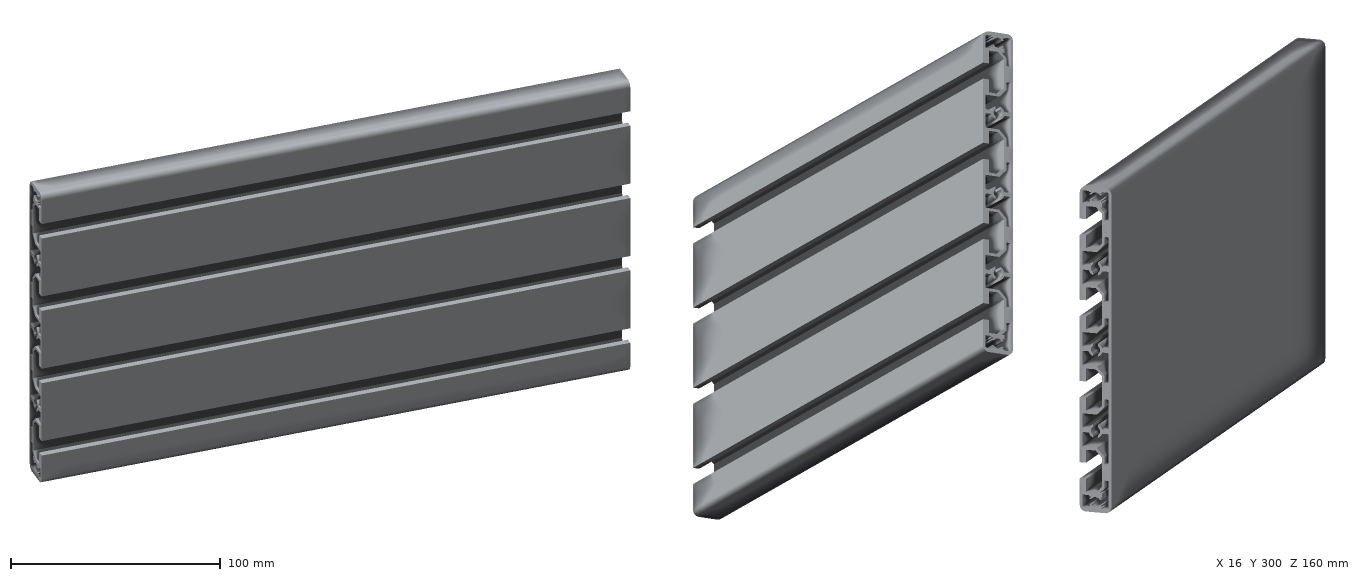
import cadquery as cq
import math

THICKNESS = 16.0
LENGTH = 300.0
HEIGHT = 160.0
SLOT_COUNT = 4
PITCH = HEIGHT / SLOT_COUNT
CORNER_RADIUS = 3.0

SKIN = 1.3
END_WALL = 2.0
INNER_FILLET = 0.7

SLOT_OPENING = 8.0
LIP = 3.2
SLOT_DEPTH = 11.2
SLOT_HALF_HEIGHT = 10.4
SLOT_CHAMFER = 3.1
SLOT_WALL = 1.4

MID_BORE_RADIUS = 2.3
MID_RING_RADIUS = 3.5
RING_GAP = 2.6
ARM = 2.0
END_BORE_RADIUS = 2.5
END_RING_RADIUS = 3.4
END_BORE_INSET = 5.0

HALF_THICKNESS = THICKNESS / 2
HALF_HEIGHT = HEIGHT / 2
SLOT_FLOOR_X = HALF_THICKNESS - SLOT_DEPTH
LIP_X = HALF_THICKNESS - LIP
SLOT_CENTERS = [(i - (SLOT_COUNT - 1) / 2) * PITCH for i in range(SLOT_COUNT)]
MID_BORES = [(i - SLOT_COUNT / 2) * PITCH for i in range(1, SLOT_COUNT)]
END_BORE_Z = HALF_HEIGHT - END_BORE_INSET
END_SLOT_CEILING_Z = SLOT_CENTERS[-1] + SLOT_HALF_HEIGHT


def box(x_min, x_max, z_min, z_max):
    """Full-length bar between the given X and Z limits."""
    center = ((x_min + x_max) / 2, 0, (z_min + z_max) / 2)
    return cq.Workplane("XY").box(x_max - x_min, LENGTH, z_max - z_min).translate(center)


def rod(radius, z):
    """Full-length round bar centred at X = 0 and the given height."""
    return cq.Workplane("XZ").center(0, z).circle(radius).extrude(LENGTH / 2, both=True)


def channel(floor_x, front_x, half_height, chamfer, z):
    """Bar with its two floor corners chamfered, symmetric about the given height."""
    bar = box(floor_x, front_x, z - half_height, z + half_height)
    return bar.edges("|Y and <X").chamfer(chamfer)


def slot_wall(z):
    """Material around one T-slot, with the solid pad that joins it to the back skin."""
    wall = channel(
        SLOT_FLOOR_X - SLOT_WALL,
        HALF_THICKNESS - SKIN / 2,
        SLOT_HALF_HEIGHT + SLOT_WALL,
        SLOT_CHAMFER + SLOT_WALL * (2 - math.sqrt(2)),
        z,
    )
    pad = box(-HALF_THICKNESS + SKIN / 2, SLOT_FLOOR_X, z - SLOT_OPENING / 2, z + SLOT_OPENING / 2)
    lips = box(LIP_X, HALF_THICKNESS, z - SLOT_HALF_HEIGHT, z + SLOT_HALF_HEIGHT)
    return wall.union(pad).union(lips)


def slot_space(z):
    """Empty space of one T-slot and its opening."""
    chamber = channel(SLOT_FLOOR_X, LIP_X, SLOT_HALF_HEIGHT, SLOT_CHAMFER, z)
    opening = box(0, HALF_THICKNESS, z - SLOT_OPENING / 2, z + SLOT_OPENING / 2)
    return chamber.union(opening)


def mid_bore_jaws(z):
    """Ring on two arms from the side skins, open towards +Z and -Z."""
    arm = box(-HALF_THICKNESS + SKIN / 2, HALF_THICKNESS - SKIN / 2, z - ARM / 2, z + ARM / 2)
    gap = box(-RING_GAP / 2, RING_GAP / 2, z - MID_RING_RADIUS, z + MID_RING_RADIUS)
    return rod(MID_RING_RADIUS, z).union(arm).cut(rod(MID_BORE_RADIUS, z)).cut(gap)


def end_bore_jaws(side):
    """Split boss between an end wall and the nearest slot, holding a bore open towards +X and -X."""
    z = side * END_BORE_Z
    boss_ends = sorted([side * END_SLOT_CEILING_Z, side * (HALF_HEIGHT - END_WALL / 2)])
    boss = box(-END_RING_RADIUS, END_RING_RADIUS, *boss_ends)
    boss = boss.cut(box(-END_RING_RADIUS, END_RING_RADIUS, z - END_BORE_RADIUS, z + END_BORE_RADIUS))
    ring = rod(END_RING_RADIUS, z)
    gap = box(-END_RING_RADIUS, END_RING_RADIUS, z - RING_GAP / 2, z + RING_GAP / 2)
    return ring.union(boss).cut(rod(END_BORE_RADIUS, z)).cut(gap)


def fillet_arm_roots(body, z):
    """Round the four corners where the arms of one middle bore meet the side skins."""
    root_x = HALF_THICKNESS - SKIN
    for corner_x in (-root_x, root_x):
        for corner_z in (z - ARM / 2, z + ARM / 2):
            corner = cq.selectors.NearestToPointSelector((corner_x, 0, corner_z))
            body = body.edges("|Y").edges(corner).fillet(INNER_FILLET)
    return body


outer = box(-HALF_THICKNESS, HALF_THICKNESS, -HALF_HEIGHT, HALF_HEIGHT)
outer = outer.edges("|Y").fillet(CORNER_RADIUS)
hollow = box(
    -HALF_THICKNESS + SKIN,
    HALF_THICKNESS - SKIN,
    -HALF_HEIGHT + END_WALL,
    HALF_HEIGHT - END_WALL,
).edges("|Y").fillet(INNER_FILLET)

result = outer.cut(hollow)
for slot_z in SLOT_CENTERS:
    result = result.union(slot_wall(slot_z))
for bore_z in MID_BORES:
    result = fillet_arm_roots(result.union(mid_bore_jaws(bore_z)), bore_z)
for end_side in (-1, 1):
    result = result.union(end_bore_jaws(end_side))
for slot_z in SLOT_CENTERS:
    result = result.cut(slot_space(slot_z))